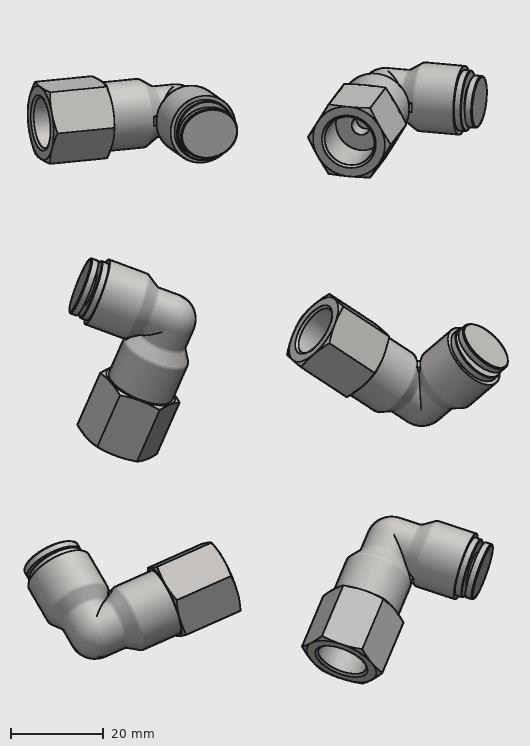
import cadquery as cq
import math

NECK_RADIUS = 11.05 / 2
BARREL_RADIUS = 14.9 / 2
ARM_LENGTH = 17.0
CONE_START = 5.0
CONE_END = 8.05
CONE_BLEND_RADIUS = 1.0
WEB_THICKNESS = 2.0

NUT_ACROSS_FLATS = 16.0
NUT_END = 38.45 - BARREL_RADIUS
NUT_LENGTH = NUT_END - ARM_LENGTH
NUT_CHAMFER_ANGLE = 20.0
BORE_RADIUS = 11.05 / 2
BORE_DEPTH = 10.0
BORE_CHAMFER = 0.5
PASSAGE_RADIUS = 4.0 / 2

COLLAR_RADIUS = 13.15 / 2
COLLAR_LENGTH = 1.55
COLLAR_CHAMFER = 0.15

STEM_RADIUS = 7.5 / 2
STEM_LENGTH = 0.8
CAP_WIDTH = 13.0
CAP_HEIGHT = 11.05
CAP_THICKNESS = 1.6
CAP_CHAMFER = 0.23


def make_arm():
    """Arm along +X: neck, blended cone and barrel, starting at the elbow corner."""
    arm = (
        cq.Workplane("XY")
        .moveTo(0, 0)
        .lineTo(0, NECK_RADIUS)
        .lineTo(CONE_START, NECK_RADIUS)
        .lineTo(CONE_END, BARREL_RADIUS)
        .lineTo(ARM_LENGTH, BARREL_RADIUS)
        .lineTo(ARM_LENGTH, 0)
        .close()
        .revolve(360, (0, 0, 0), (1, 0, 0))
    )

    def is_cone_rim(edge):
        x = edge.Center().x
        is_round = edge.geomType() == "CIRCLE"
        return is_round and min(abs(x - CONE_START), abs(x - CONE_END)) < 0.005

    rims = [edge for edge in arm.edges().vals() if is_cone_rim(edge)]
    return arm.newObject(rims).fillet(CONE_BLEND_RADIUS)


def make_elbow():
    """Two arms with a ball at the corner and a thin web across the inside of the bend."""
    arm = make_arm()
    ball = cq.Workplane("XY").sphere(NECK_RADIUS)
    web_leg = 2 * BARREL_RADIUS
    web = (
        cq.Workplane("XY")
        .polyline([(0, 0), (web_leg, 0), (0, -web_leg)])
        .close()
        .extrude(WEB_THICKNESS / 2, both=True)
    )
    nut_arm = arm.rotate((0, 0, 0), (0, 0, 1), -90)
    return arm.union(nut_arm).union(ball).union(web)


def make_nut():
    """Hex nut along -Y with turned corners, a chamfered bore and a small passage behind it."""
    corner_radius = NUT_ACROSS_FLATS / math.sqrt(3)
    face_radius = NUT_ACROSS_FLATS / 2
    chamfer_length = (corner_radius - face_radius) * math.tan(math.radians(NUT_CHAMFER_ANGLE))
    top = -ARM_LENGTH
    hexagon = (
        cq.Workplane("XZ", origin=(0, top, 0))
        .polygon(6, 2 * corner_radius)
        .extrude(NUT_LENGTH)
    )
    turned_blank = (
        cq.Workplane("XY")
        .moveTo(0, top)
        .lineTo(face_radius, top)
        .lineTo(corner_radius, top - chamfer_length)
        .lineTo(corner_radius, chamfer_length - NUT_END)
        .lineTo(face_radius, -NUT_END)
        .lineTo(0, -NUT_END)
        .close()
        .revolve(360, (0, 0, 0), (0, 1, 0))
    )
    bore_bottom = BORE_DEPTH - NUT_END
    cavity = (
        cq.Workplane("XY")
        .moveTo(0, -NUT_END)
        .lineTo(BORE_RADIUS + BORE_CHAMFER, -NUT_END)
        .lineTo(BORE_RADIUS, BORE_CHAMFER - NUT_END)
        .lineTo(BORE_RADIUS, bore_bottom)
        .lineTo(PASSAGE_RADIUS, bore_bottom)
        .lineTo(PASSAGE_RADIUS, top)
        .lineTo(0, top)
        .close()
        .revolve(360, (0, 0, 0), (0, 1, 0))
    )
    return hexagon.intersect(turned_blank).cut(cavity)


def make_collar():
    """Plain ring step on the end of the +X arm."""
    return (
        cq.Workplane("YZ", origin=(ARM_LENGTH, 0, 0))
        .circle(COLLAR_RADIUS)
        .extrude(COLLAR_LENGTH)
        .faces(">X")
        .chamfer(COLLAR_CHAMFER)
    )


def make_release_button():
    """Oval cap on a round stem that stands on the collar."""
    stem_start = ARM_LENGTH + COLLAR_LENGTH
    cap_start = stem_start + STEM_LENGTH
    stem = cq.Workplane("YZ", origin=(stem_start, 0, 0)).circle(STEM_RADIUS).extrude(STEM_LENGTH)
    cap = (
        cq.Workplane("YZ", origin=(cap_start, 0, 0))
        .ellipse(CAP_WIDTH / 2, CAP_HEIGHT / 2)
        .extrude(CAP_THICKNESS)
        .faces(">X")
        .chamfer(CAP_CHAMFER)
    )
    return stem.union(cap)


elbow = make_elbow()
nut = make_nut()
collar = make_collar()
release_button = make_release_button()

result = cq.Compound.makeCompound([elbow.val(), nut.val(), collar.val(), release_button.val()])